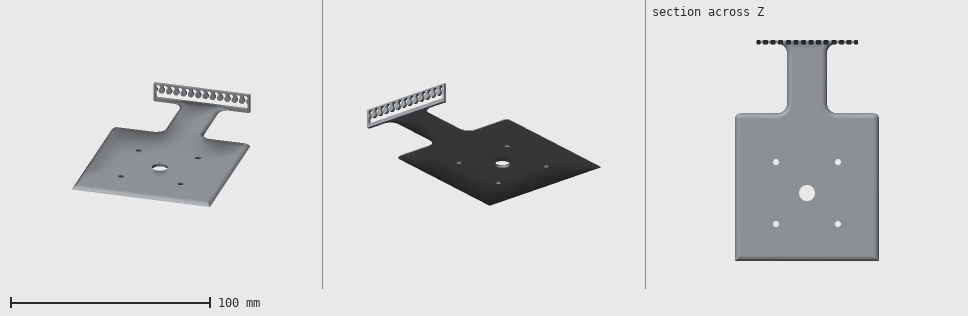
import cadquery as cq
import math

plate_width = 72.0
plate_length = 74.0
neck_width = 20.0
neck_corner_radius = 5.1

total_length = 110.5
wall_width = 50.0
wall_height = 10.0

window_side_margin = 1.0
window_bottom_z = 2.0
window_corner_radius = 0.5
sill_rise = 0.5

sheet_thickness = window_bottom_z - sill_rise
wall_front_y = total_length - sheet_thickness

rim_radius = 3.0
rim_run = math.sqrt(rim_radius**2 - (rim_radius - sheet_thickness) ** 2)
rim_overhang = rim_radius - rim_run

center_hole_y = 34.0
center_hole_diameter = 8.0
screw_hole_diameter = 3.0
screw_spacing = 31.0

seat_count = 13
seat_diameter = 2.3
seat_depth = 1.9
neck_gap = 0.8
seat_radius = seat_diameter / 2
seat_row_length = wall_width - 2 * window_side_margin - seat_diameter
seat_pitch = seat_row_length / (seat_count - 1)
tooth_radius = (seat_pitch - neck_gap) / 2
seat_z = wall_height - seat_depth
tooth_z = seat_z - math.sqrt((seat_radius + tooth_radius) ** 2 - (seat_pitch / 2) ** 2)


def make_plate():
    """Plate and flared neck with a rounded upper rim, running on into the comb wall."""
    blank_depth = 2 * rim_radius
    half_plate = plate_width / 2 + rim_overhang
    half_neck = neck_width / 2 + rim_overhang
    half_flare = wall_width / 2
    front_y = -rim_overhang
    shoulder_y = plate_length + rim_overhang
    flare_y = wall_front_y - rim_overhang
    end_y = total_length + 2 * rim_radius

    right_side = [
        (half_plate, front_y),
        (half_plate, shoulder_y),
        (half_neck, shoulder_y),
        (half_neck, flare_y),
        (half_flare, flare_y),
        (half_flare, end_y),
    ]
    left_side = [(-x, y) for x, y in reversed(right_side)]
    blank = (
        cq.Workplane("XY", origin=(0, 0, sheet_thickness - blank_depth))
        .polyline(right_side + left_side)
        .close()
        .extrude(blank_depth)
    )

    blank = blank.edges("|Z").edges("<X or >X").edges(">Y").fillet(rim_radius)

    margin = 1.1
    neck_region = cq.selectors.BoxSelector(
        (-half_neck - margin, shoulder_y - margin, -blank_depth),
        (half_neck + margin, flare_y + margin, blank_depth),
    )
    blank = blank.edges("|Z").edges(neck_region).fillet(neck_corner_radius - rim_overhang)
    blank = blank.faces(">Z").edges().fillet(rim_radius)

    keep_length = wall_front_y + sheet_thickness / 2
    keep = cq.Workplane("XY").box(
        plate_width, keep_length, sheet_thickness, centered=(True, False, False)
    )
    return blank.intersect(keep)


def make_opening(back_face):
    """Window with keyhole seats above it, leaving round teeth between the seats."""
    window_width = wall_width - 2 * window_side_margin
    opening = (
        back_face.center(0, (window_bottom_z + tooth_z) / 2)
        .rect(window_width, tooth_z - window_bottom_z)
        .extrude(sheet_thickness)
        .edges("|Y and <Z")
        .fillet(window_corner_radius)
    )

    first_seat_x = -seat_row_length / 2
    seats = [(first_seat_x + i * seat_pitch, seat_z) for i in range(seat_count)]
    first_tooth_x = first_seat_x - seat_pitch / 2
    teeth = [(first_tooth_x + i * seat_pitch, tooth_z) for i in range(seat_count + 1)]

    for seat, left_tooth, right_tooth in zip(seats, teeth, teeth[1:]):
        throat = back_face.polyline([seat, left_tooth, right_tooth]).close()
        opening = opening.union(throat.extrude(sheet_thickness))

    tooth_pins = back_face.pushPoints(teeth).circle(tooth_radius).extrude(sheet_thickness)
    seat_pins = back_face.pushPoints(seats).circle(seat_radius).extrude(sheet_thickness)
    return opening.cut(tooth_pins).union(seat_pins)


def make_wall():
    """Comb wall standing on the underside level, extruded from its back face toward -Y."""
    back_face = cq.Workplane("XZ", origin=(0, total_length, 0))
    wall = (
        back_face.center(0, wall_height / 2)
        .rect(wall_width, wall_height)
        .extrude(sheet_thickness)
    )
    return wall.cut(make_opening(back_face))


def make_holes():
    """Through holes of the plate: one central opening and four screw holes in a square."""
    layout = cq.Workplane("XY", origin=(0, center_hole_y, 0))
    center_hole = layout.circle(center_hole_diameter / 2).extrude(sheet_thickness)
    screw_holes = (
        layout.rect(screw_spacing, screw_spacing, forConstruction=True)
        .vertices()
        .circle(screw_hole_diameter / 2)
        .extrude(sheet_thickness)
    )
    return center_hole.union(screw_holes)


result = make_plate().cut(make_holes()).union(make_wall())